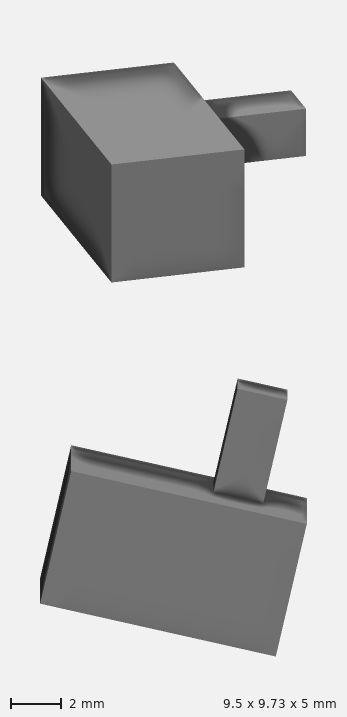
import cadquery as cq

total_depth = 9.73
body_width = 9.5
body_height = 5.0

stem_side = 2.0
stem_length = 4.27
stem_left_offset = 1.76
stem_top_offset = 1.0

body_depth = total_depth - stem_length
stem_bottom = body_height - stem_top_offset - stem_side

body = cq.Workplane("XY").box(body_width, body_depth, body_height, centered=False)

stem = (
    cq.Workplane("XY")
    .box(stem_side, stem_length, stem_side, centered=False)
    .translate((stem_left_offset, body_depth, stem_bottom))
)

result = body.union(stem)